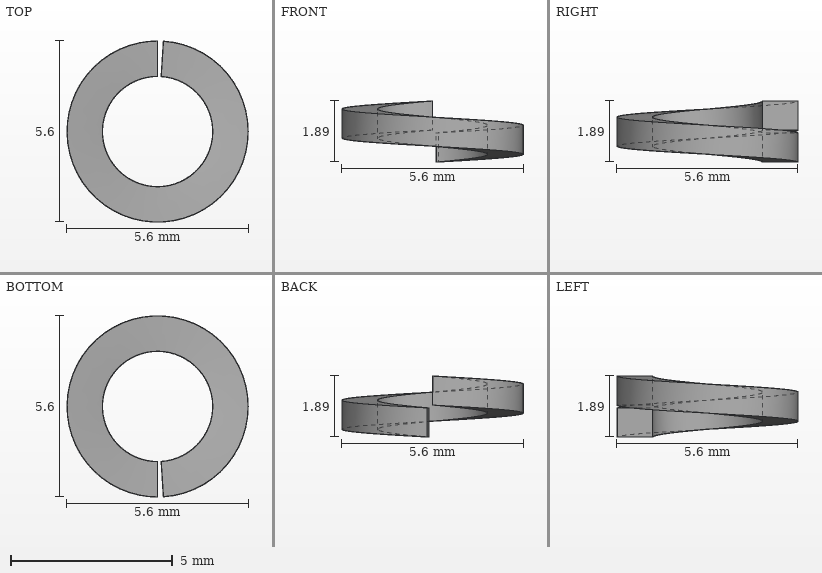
import cadquery as cq

outer_diameter = 5.6
inner_diameter = 3.4
thickness = 0.9
pitch = 1.0
gap_angle = 3.6
upper_end_angle = 90.0

outer_radius = outer_diameter / 2
inner_radius = inner_diameter / 2
section_width = outer_radius - inner_radius
mean_radius = (outer_radius + inner_radius) / 2
rise = pitch * (360.0 - gap_angle) / 360.0
lower_end_angle = upper_end_angle - gap_angle


def wind_section():
    """Sweep the section up a left-handed helix that starts on the +X axis."""
    helix = cq.Wire.makeHelix(pitch, rise, mean_radius, lefthand=True)
    section = (
        cq.Workplane("XZ")
        .center(mean_radius, 0)
        .rect(section_width, thickness)
    )
    return section.sweep(cq.Workplane(helix), isFrenet=True)


result = (
    wind_section()
    .rotate((0, 0, 0), (0, 0, 1), lower_end_angle)
    .translate((0, 0, thickness / 2))
)